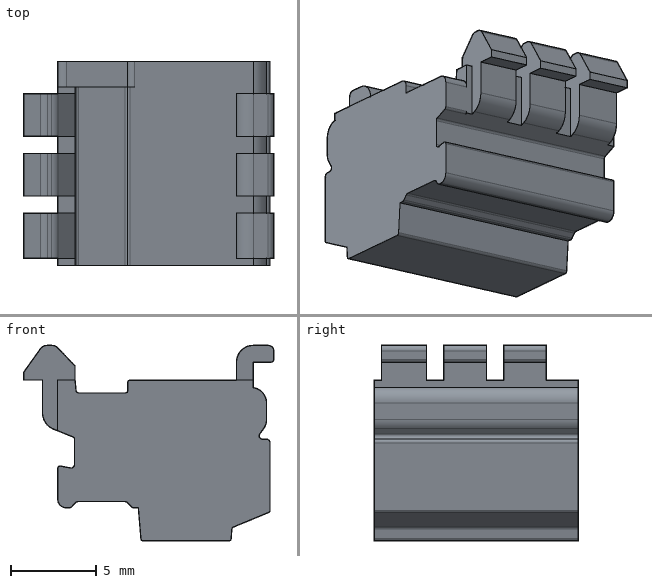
import cadquery as cq
import math


overall_length = 14.7
overall_height = 11.5
body_depth = 12.0
body_top = 9.45
hook_thickness = 1.0

left_face = 2.0
right_face = 14.48
top_right = 13.5
edge_radius = 0.15
groove_left = 3.03
groove_right = 6.12
groove_floor = 8.7
groove_wall_lean = 0.07
bump_face = 14.27
bump_start = 9.01
bump_crest = 8.9
bump_radius = 0.88
bump_base = 5.98
bump_notch_radius = 0.19
bump_ledge_radius = 0.22
foot_left = 6.9
foot_right = 12.19
shelf_level = 1.94
recess_level = 2.31
recess_radius = 0.2
slot_floor = 2.98
slot_top = 6.07
slot_slope = 0.4
slot_radius = 0.2
bump_undercut = 6.84
bump_notch = 13.65
ramp_top = 1.7
ramp_inner = 12.25
ramp_bottom = 0.78
foot_shoulder = 6.73
recess_right_base = 6.4
recess_right = 6.03
recess_left = 3.12
recess_left_base = 2.76
toe_top = 4.44
slot_bottom = 4.25
toe_radius = 0.51


def slot_roof(x):
    """Height of the sloping roof of the left slot at x."""
    return slot_top + slot_slope * (slot_floor - x)


bump_width = bump_face - top_right
bump_fall = bump_start - bump_crest
bump_half_turn = (math.pi / 2 - math.atan2(bump_fall, bump_width)) / 2
bump_crest_radius = math.hypot(bump_width, bump_fall) / math.tan(bump_half_turn)

end_start = 10.51
end_shelf = 8.6
end_shelf_radius = 0.51
end_top_radius = 0.4

arm_outer = 1.1
arm_bend_radius = 1.06
head_tip_top = 9.91
head_shoulder = 10.28
head_crest_left = 1.13
head_crest_right = 1.87
head_crest_radius = 0.5

hook_bend_radius = hook_thickness
hook_tip_upper_radius = 0.34
hook_tip_lower_radius = 0.18

pole_count = 3
pole_pitch = 3.51
first_pole_end = 3.09
pole_width = 2.51
first_pole_width = 2.66

shortest_edge = 0.0001


def rounded_prism(corners, y_start, y_end):
    """Extrude an XZ outline of (x, z, corner radius) from y_start to y_end."""
    stretches = []
    for index, (x, z, radius) in enumerate(corners):
        before = cq.Vector(*corners[index - 1][:2])
        after = cq.Vector(*corners[(index + 1) % len(corners)][:2])
        corner = cq.Vector(x, z)
        to_before = (before - corner).normalized()
        to_after = (after - corner).normalized()
        half_angle = to_before.getAngle(to_after) / 2
        setback = radius / math.tan(half_angle)
        to_centre = (to_before + to_after).normalized()
        middle = corner + to_centre * (radius / math.sin(half_angle) - radius)
        arc = (corner + to_before * setback, middle, corner + to_after * setback)
        stretches.append((radius, [point.toTuple()[:2] for point in arc]))

    last_end = stretches[0][1][2]
    outline = cq.Workplane("XZ", origin=(0, y_start, 0)).moveTo(*last_end)
    for radius, (arc_start, arc_middle, arc_end) in stretches[1:] + stretches[:1]:
        if math.dist(last_end, arc_start) > shortest_edge:
            outline = outline.lineTo(*arc_start)
        if radius > 0:
            outline = outline.threePointArc(arc_middle, arc_end)
        last_end = arc_end
    return outline.close().extrude(y_start - y_end)


common_corners = [
    (top_right, body_top, 0),
    (top_right, bump_start, 0),
    (bump_face, bump_crest, bump_crest_radius),
    (bump_face, bump_undercut, bump_radius),
    (bump_notch, bump_base, bump_notch_radius),
    (right_face, bump_base, bump_ledge_radius),
    (right_face, ramp_top, edge_radius),
    (ramp_inner, ramp_bottom, edge_radius),
    (foot_right, 0, edge_radius),
    (foot_left, 0, edge_radius),
    (foot_shoulder, shelf_level, 0),
    (recess_right_base, shelf_level, recess_radius),
    (recess_right, recess_level, recess_radius),
    (recess_left, recess_level, recess_radius),
    (recess_left_base, shelf_level, recess_radius),
    (left_face, shelf_level, toe_radius),
    (left_face, toe_top, edge_radius),
    (slot_floor, slot_bottom, slot_radius),
    (slot_floor, slot_top, edge_radius),
]

main_corners = common_corners + [
    (left_face, slot_roof(left_face), 0),
    (left_face, body_top, 0),
    (groove_left, body_top, 0),
    (groove_left + groove_wall_lean, groove_floor, edge_radius),
    (groove_right, groove_floor, edge_radius),
    (groove_right, body_top, edge_radius),
]

end_corners = common_corners + [
    (left_face, slot_roof(left_face), edge_radius),
    (left_face, end_shelf, end_shelf_radius),
    (groove_right, end_shelf, 0),
    (groove_right, body_top, end_top_radius),
]

arm_corners = [
    (left_face, slot_roof(left_face), 0),
    (arm_outer, slot_roof(arm_outer), arm_bend_radius),
    (arm_outer, body_top, 0),
    (0, body_top, 0),
    (0, head_tip_top, 0),
    (head_crest_left, overall_height, head_crest_radius),
    (head_crest_right, overall_height, head_crest_radius),
    (groove_left, head_shoulder, 0),
    (groove_left, body_top, 0),
    (left_face, body_top, 0),
]

hook_corners = [
    (top_right, body_top, 0),
    (top_right - hook_thickness, body_top, 0),
    (top_right - hook_thickness, overall_height, hook_bend_radius),
    (overall_length, overall_height, hook_tip_upper_radius),
    (overall_length, overall_height - hook_thickness, hook_tip_lower_radius),
    (top_right, overall_height - hook_thickness, 0),
]

result = rounded_prism(main_corners, 0, end_start)
result = result.union(rounded_prism(end_corners, end_start, body_depth))
for pole in range(pole_count):
    pole_end = first_pole_end + pole * pole_pitch
    width = first_pole_width if pole == 0 else pole_width
    for corners in (arm_corners, hook_corners):
        result = result.union(rounded_prism(corners, pole_end - width, pole_end))